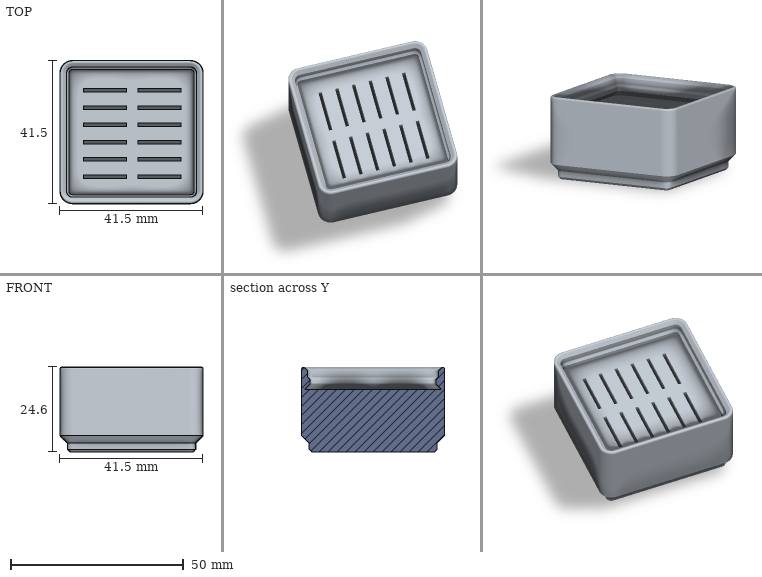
import cadquery as cq
import math

side = 41.5
height = 24.55
corner_radius = 3.75

foot_lower_chamfer = 0.8
foot_band_height = 1.8
foot_upper_chamfer = 2.15

lip_upper_chamfer = 1.9
lip_band_height = 1.8
lip_lower_chamfer = 0.7
throat_height = 1.2
undercut = 1.65
rim_radius = 0.6

slot_columns = 2
slot_rows = 6
slot_length = 12.4
slot_width = 1.0
slot_column_pitch = 15.85
slot_row_span = 25.0
slot_row_pitch = slot_row_span / (slot_rows - 1)
slot_depth = 9.95
slot_centre_x = 0.2
slot_centre_y = -0.4

knife_edge_z = height + math.sqrt(2) * rim_radius

lip_band_top_z = knife_edge_z - lip_upper_chamfer
lip_band_bottom_z = lip_band_top_z - lip_band_height
throat_top_z = lip_band_bottom_z - lip_lower_chamfer
throat_bottom_z = throat_top_z - throat_height
floor_z = throat_bottom_z - undercut

widening = -45
narrowing = 45


def rounded_block(inset, bottom_z, block_height, draft=0):
    """Square block with rounded corners; inset is measured from the outer wall at the bottom."""
    return (
        cq.Workplane("XY", origin=(0, 0, bottom_z))
        .sketch()
        .rect(side - 2 * inset, side - 2 * inset)
        .vertices()
        .fillet(corner_radius - inset)
        .finalize()
        .extrude(block_height, taper=draft)
    )


def make_body():
    """Solid block standing on a foot that steps inwards below it."""
    band_bottom_z = foot_lower_chamfer
    band_top_z = band_bottom_z + foot_band_height
    wall_bottom_z = band_top_z + foot_upper_chamfer
    base_inset = foot_upper_chamfer + foot_lower_chamfer

    base = rounded_block(base_inset, 0, foot_lower_chamfer, widening)
    band = rounded_block(foot_upper_chamfer, band_bottom_z, foot_band_height)
    flare = rounded_block(foot_upper_chamfer, band_top_z, foot_upper_chamfer, widening)
    wall = rounded_block(0, wall_bottom_z, knife_edge_z - wall_bottom_z)
    return base.union(band).union(flare).union(wall)


def make_mouth():
    """Space inside the stacking lip, down to the floor."""
    throat_inset = lip_upper_chamfer + lip_lower_chamfer

    upper_flare = rounded_block(lip_upper_chamfer, lip_band_top_z, lip_upper_chamfer, widening)
    band = rounded_block(lip_upper_chamfer, lip_band_bottom_z, lip_band_height)
    lower_flare = rounded_block(throat_inset, throat_top_z, lip_lower_chamfer, widening)
    throat = rounded_block(throat_inset, throat_bottom_z, throat_height)
    undercut_flare = rounded_block(throat_inset - undercut, floor_z, undercut, narrowing)
    return upper_flare.union(band).union(lower_flare).union(throat).union(undercut_flare)


def make_slots():
    """Grid of narrow blind slots reaching down from the floor."""
    return (
        cq.Workplane("XY", origin=(slot_centre_x, slot_centre_y, floor_z))
        .rarray(slot_column_pitch, slot_row_pitch, slot_columns, slot_rows)
        .rect(slot_length, slot_width)
        .extrude(-slot_depth)
    )


lipped_body = make_body().cut(make_mouth())
rounded_body = lipped_body.edges(">Z").fillet(rim_radius)
result = rounded_body.cut(make_slots())